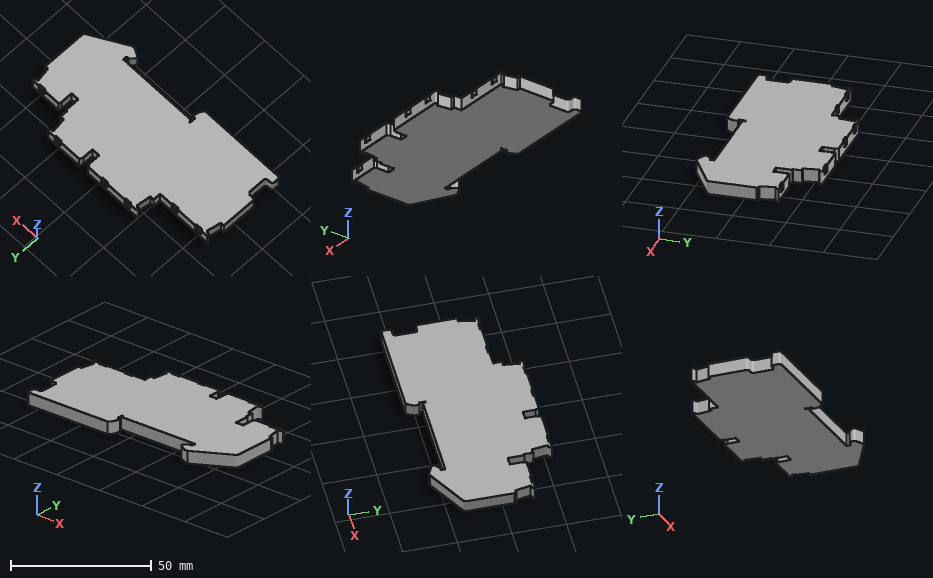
import cadquery as cq

length = 91.3
height = 45.8
thickness = 5.1
overlap = 0.9

body_top = 28.0
body_flat_bottom = 6.1
right_wall = 91.0
right_wall_bottom = 8.95
bead_height = 0.7
corner_radius = 1.0
heel_radius = 1.6

lower_center = 45.65
lower_top = 35.2
lower_neck_base = 44.1
lower_neck_top = 43.0
lower_lip_half = 44.65
lower_lip_inset = 0.3
lower_lip_tip = 0.8
lower_lip_root = 1.5
lower_lip_radius = 0.4
upper_center = 48.8
upper_neck_base = 22.1
upper_neck_top = 21.3
upper_lip_half = 22.6
upper_lip_depth = 1.3
upper_lip_radius = 0.5
neck_root_radius = 0.4
shoulder_half = 23.7
shoulder_top = 38.6
shelf_fall = 0.2

upper_slot_left = 51.7
upper_slot_width = 3.2
upper_slot_floor = 39.8
upper_mouth_run = 0.6
upper_mouth_depth = 1.5
lower_slot_left = 73.1
lower_slot_width = 3.3
lower_slot_floor = 29.1
lower_mouth_run = 0.5
lower_mouth_depth = 1.0

recess_width = 2.9
recess_depth = 0.55
recess_drop = thickness / 2
lower_recess_offsets = (-39.8, -27.85, 39.8)
upper_recess_offsets = (-17.8, -6.0, 17.8)

notch_bottom = 3.8
notch_top = 12.6
notch_depth = 3.4
notch_radius = 1.0

foot_wall = 38.5
foot_tip = 39.6
foot_tip_height = 4.75
foot_bottom_end = 37.8
foot_bulge = (39.3, 2.1)
slit_width = 0.3
slit_top = 7.2

hook_wall = 73.4
hook_ledge = 4.7
hook_ledge_end = 72.4
hook_nose_top = (70.85, 3.2)
hook_nose_bottom = (71.1, 1.5)
hook_nose_tip = (70.6, 2.3)
hook_toe_left = (73.8, 0.1)
hook_toe = (74.5, 0.0)
hook_toe_right = (75.2, 0.1)


def plate(points):
    """Full-thickness plate with a straight-sided outline."""
    return cq.Workplane("XY").polyline(points).close().extrude(thickness)


def block(left, right, bottom, top):
    """Full-thickness rectangular block."""
    return plate([(left, bottom), (right, bottom), (right, top), (left, top)])


def round_corners(solid, points, radius):
    """Round the vertical edges that stand at the given corner points."""
    reach = 0.05
    for x, y in points:
        low_corner = (x - reach, y - reach, -reach)
        high_corner = (x + reach, y + reach, thickness + reach)
        box = cq.selectors.BoxSelector(low_corner, high_corner)
        solid = solid.edges("|Z").edges(box).fillet(radius)
    return solid


def both_sides(center, half_width, y):
    """The two points at height y that mirror each other about x = center."""
    return [(center - half_width, y), (center + half_width, y)]


def symmetric_plate(center, half_outline):
    """Plate from the right half of an outline, mirrored about x = center."""
    right = [(center + x, y) for x, y in half_outline]
    left = [(center - x, y) for x, y in reversed(half_outline)]
    return plate(right + left)


def make_body():
    """Main body with the rail foot, the relief slit and the rail hook."""
    outline = (
        cq.Workplane("XY")
        .moveTo(0, 0)
        .lineTo(foot_bottom_end, 0)
        .threePointArc(foot_bulge, (foot_tip, foot_tip_height))
        .lineTo(foot_wall, foot_tip_height)
        .lineTo(foot_wall, slit_top)
        .lineTo(foot_wall + slit_width, slit_top)
        .lineTo(foot_wall + slit_width, body_flat_bottom)
        .lineTo(hook_wall, body_flat_bottom)
        .lineTo(hook_wall, hook_ledge)
        .lineTo(hook_ledge_end, hook_ledge)
        .lineTo(*hook_nose_top)
        .threePointArc(hook_nose_tip, hook_nose_bottom)
        .lineTo(*hook_toe_left)
        .threePointArc(hook_toe, hook_toe_right)
        .lineTo(right_wall, right_wall_bottom)
        .lineTo(right_wall, body_top - bead_height)
        .lineTo(length, body_top - bead_height / 2)
        .lineTo(right_wall, body_top)
        .lineTo(0, body_top)
        .close()
    )
    body = outline.extrude(thickness)
    body = round_corners(body, [(0, 0)], corner_radius)
    return round_corners(body, [(right_wall, right_wall_bottom)], heel_radius)


def make_lower_tier():
    tip_height = lower_top - lower_lip_tip
    tier = symmetric_plate(lower_center, [
        (lower_neck_base, body_top - overlap),
        (lower_neck_base, body_top),
        (lower_neck_top, lower_top - lower_lip_root),
        (lower_lip_half, tip_height),
        (lower_lip_half - lower_lip_inset, lower_top),
    ])
    return round_corners(tier, both_sides(lower_center, lower_lip_half, tip_height), lower_lip_radius)


def make_upper_tier():
    lip_bottom = height - upper_lip_depth
    tier = symmetric_plate(upper_center, [
        (shoulder_half, lower_top - overlap),
        (shoulder_half, shoulder_top),
        (upper_neck_base, shoulder_top - shelf_fall),
        (upper_neck_top, lip_bottom),
        (upper_lip_half, lip_bottom),
        (upper_lip_half, height),
    ])
    for y in (lip_bottom, height):
        tier = round_corners(tier, both_sides(upper_center, upper_lip_half, y), upper_lip_radius)
    return round_corners(tier, both_sides(upper_center, upper_neck_top, lip_bottom), neck_root_radius)


def slot(left, width, floor, top, mouth_depth, left_run, right_run):
    """Slot cutter with a mouth that flares by left_run and right_run."""
    right = left + width
    return plate([
        (left, floor),
        (right, floor),
        (right, top - mouth_depth),
        (right + right_run, top),
        (left - left_run, top),
        (left, top - mouth_depth),
    ])


def recess(center, top):
    """Cutter for a marker recess, open to the upper face and the top edge."""
    return cq.Workplane("XY").box(
        recess_width, recess_depth, recess_drop, centered=(True, False, False)
    ).translate((center, top - recess_depth, thickness - recess_drop))


result = make_body().union(make_lower_tier()).union(make_upper_tier())

result = result.cut(slot(upper_slot_left, upper_slot_width, upper_slot_floor, height,
                         upper_mouth_depth, upper_mouth_run, upper_mouth_run))
result = result.cut(slot(lower_slot_left, lower_slot_width, lower_slot_floor, lower_top,
                         lower_mouth_depth, 0, lower_mouth_run))

result = result.cut(block(0, notch_depth, notch_bottom, notch_top))
notch_corners = [(x, y) for x in (0, notch_depth) for y in (notch_bottom, notch_top)]
result = round_corners(result, notch_corners, notch_radius)

for offset in lower_recess_offsets:
    result = result.cut(recess(lower_center + offset, lower_top))
for offset in upper_recess_offsets:
    result = result.cut(recess(upper_center + offset, height))